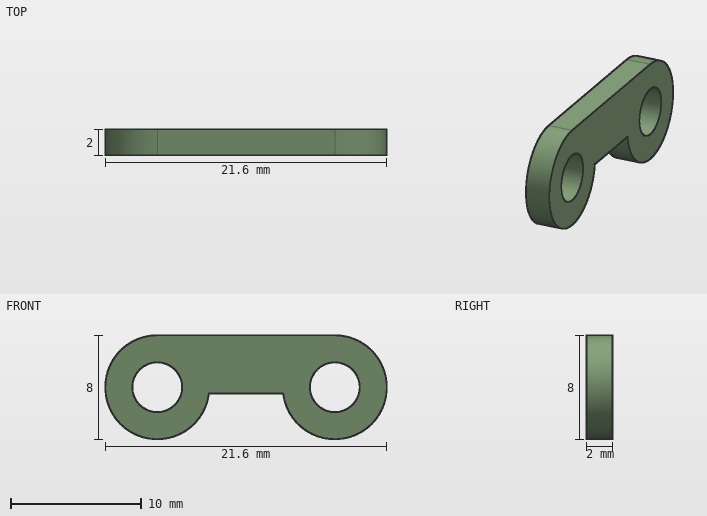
import cadquery as cq

length = 21.6
thickness = 2.0
eye_diameter = 8.0
hole_diameter = 3.8
web_drop = 0.5

eye_radius = eye_diameter / 2
hole_spacing = length - eye_diameter
eye_centers = [(-hole_spacing / 2, 0), (hole_spacing / 2, 0)]


def plate_workplane():
    """XZ workplane on the back face, with its normal toward -Y."""
    return cq.Workplane("XZ", origin=(0, thickness / 2, 0))


def discs(diameter):
    """Full-thickness cylinders on both hole axes."""
    return plate_workplane().pushPoints(eye_centers).circle(diameter / 2).extrude(thickness)


web_height = eye_radius + web_drop
web_center_z = (eye_radius - web_drop) / 2
web = (
    plate_workplane()
    .center(0, web_center_z)
    .rect(hole_spacing, web_height)
    .extrude(thickness)
)

result = web.union(discs(eye_diameter)).cut(discs(hole_diameter))